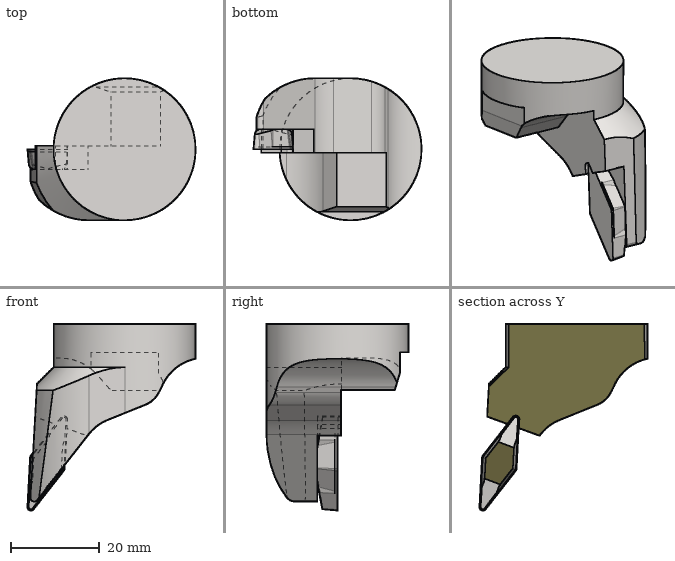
import cadquery as cq
import math


SHANK_R = 16.0
SHANK_END = -9.75
REACH = 60.0
DEPTH = -45.0

WING_OFFSET = 8.0
WING_FACE_Y = 0.8
SHOULDER_R = 21.2
SHOULDER_FOOT = SHANK_END - (SHOULDER_R - SHANK_R)
WING_DRAFT = 2.75
SIDE_ANGLE = 3.2
SIDE_X = -19.81
TIP_R = 0.85

RIM_END = -7.85
UNDERSIDE_Z = -20.1
UNDERSIDE_ANGLE = 22.0
SCOOP_ANGLE = 63.0
SCOOP_FOOT = (8.4, -14.1)
SCOOP_R = 10.5
HUMP_R = 6.0
LOWER_ANGLE = 52.0
LOWER_EDGE = (-8.07, -24.84)
LOWER_BEND_R = 10.0

GULLET_TOP = -7.63
GULLET_R = 11.0
GULLET_ARC_X = -14.5
GULLET_SLOPE = 48.6
GULLET_FLOOR = -14.9

BACK_Y = 14.1
BACK_TOP = -6.4
BACK_BEND = -10.9
BACK_ANGLE = 16.7

INSCRIBED_D = 7.94
POINT_ANGLE = 35.0
NOSE_R = 0.8
CORNER_R = 1.0
INSERT_T = 4.5
RELIEF = 5.0
NOSE_X = -21.07
NOSE_Z = -41.2
LAND = 0.6
RECESS = 0.1
RECESS_RELIEF = 9.0
RECESS_END = 6.4
BEVEL_START = 4.4
BEVEL_ANGLE = 9.4
CEILING_Z = -20.87
CEILING_ANGLE = 20.0


def tan(angle):
    return math.tan(math.radians(angle))


def along(start, angle, distance):
    """Point at a distance from start, angle measured from +X."""
    a = math.radians(angle)
    return (start[0] + distance * math.cos(a), start[1] + distance * math.sin(a))


def crossing(p, slope_p, q, slope_q):
    """Crossing of two lines, each given by a point and its slope."""
    x = (q[1] - p[1] + slope_p * p[0] - slope_q * q[0]) / (slope_p - slope_q)
    return (x, p[1] + slope_p * (x - p[0]))


def side_face_x(z):
    return SIDE_X - (SHOULDER_FOOT - z) * tan(SIDE_ANGLE)


def xz_prism(outline, y_from, y_to):
    """Prism of a closed XZ outline between two Y levels."""
    return outline.extrude(y_from - y_to).translate((0, y_from, 0))


def silhouette():
    """XZ outline of the whole holder, extruded across it."""
    side_slope = tan(90 - SIDE_ANGLE)
    lower_slope = tan(LOWER_ANGLE)
    side_point = (SIDE_X, SHOULDER_FOOT)
    underside_point = (0, UNDERSIDE_Z)
    underside_slope = tan(UNDERSIDE_ANGLE)
    tip = crossing(side_point, side_slope, LOWER_EDGE, lower_slope)
    bend = crossing(underside_point, underside_slope, LOWER_EDGE, lower_slope)
    hump = crossing(underside_point, underside_slope, SCOOP_FOOT, tan(SCOOP_ANGLE))
    solid = xz_prism(
        cq.Workplane("XZ")
        .moveTo(side_face_x(0), 0)
        .lineTo(*tip)
        .lineTo(*bend)
        .lineTo(*hump)
        .lineTo(*SCOOP_FOOT)
        .radiusArc((SHANK_R, RIM_END), SCOOP_R)
        .lineTo(SHANK_R, 0)
        .close(),
        SHANK_R, -SHANK_R,
    )
    for corner, radius in ((tip, TIP_R), (bend, LOWER_BEND_R), (hump, HUMP_R)):
        edge = cq.selectors.NearestToPointSelector((corner[0], 0, corner[1]))
        solid = solid.edges("|Y").edges(edge).fillet(radius)
    return solid


def wing():
    """Shoulder and slim cone about the shank axis, trimmed to the wing plan outline."""
    foot_r = SHOULDER_R + (SHOULDER_FOOT - DEPTH) * tan(WING_DRAFT)
    turned = (
        cq.Workplane("XZ")
        .polyline([(0, 0), (SHANK_R, 0), (SHANK_R, SHANK_END), (SHOULDER_R, SHOULDER_FOOT),
                   (foot_r, DEPTH), (0, DEPTH)])
        .close()
        .revolve(360, (0, 0), (0, 1))
    )
    plan = (
        cq.Workplane("XY")
        .moveTo(0, -SHANK_R)
        .lineTo(-WING_OFFSET, -SHANK_R)
        .radiusArc((-WING_OFFSET - SHANK_R, 0), SHANK_R)
        .lineTo(-WING_OFFSET - SHANK_R, WING_FACE_Y)
        .lineTo(0, WING_FACE_Y)
        .close()
        .extrude(DEPTH)
    )
    return turned.intersect(plan)


def gullet():
    """Space above the wing face through which the chips leave."""
    arc_end = (
        GULLET_ARC_X + GULLET_R * math.sin(math.radians(GULLET_SLOPE)),
        GULLET_TOP - GULLET_R * (1 - math.cos(math.radians(GULLET_SLOPE))),
    )
    ramp_end_x = arc_end[0] + (arc_end[1] - GULLET_FLOOR) / tan(GULLET_SLOPE)
    outline = (
        cq.Workplane("XZ")
        .moveTo(-REACH, GULLET_TOP)
        .lineTo(GULLET_ARC_X, GULLET_TOP)
        .radiusArc(arc_end, GULLET_R)
        .lineTo(ramp_end_x, GULLET_FLOOR)
        .lineTo(REACH, GULLET_FLOOR)
        .lineTo(REACH, DEPTH)
        .lineTo(-REACH, DEPTH)
        .close()
    )
    return xz_prism(outline, REACH, WING_FACE_Y)


def back_flat():
    """Flat on the +Y side that leans inwards below its bend."""
    foot_y = BACK_Y - (BACK_BEND - DEPTH) * tan(BACK_ANGLE)
    return (
        cq.Workplane("YZ")
        .polyline([(BACK_Y, BACK_TOP), (REACH, BACK_TOP), (REACH, DEPTH), (foot_y, DEPTH),
                   (BACK_Y, BACK_BEND)])
        .close()
        .extrude(REACH, both=True)
    )


HALF_POINT = POINT_ANGLE / 2
AXIS_ANGLE = LOWER_ANGLE + HALF_POINT
HALF_LENGTH = INSCRIBED_D / 2 / math.sin(math.radians(HALF_POINT))
NOSE_TO_CENTRE = (INSCRIBED_D / 2 - NOSE_R) / math.sin(math.radians(HALF_POINT))
CENTRE = along((NOSE_X, NOSE_Z), AXIS_ANGLE, NOSE_TO_CENTRE)


def placed(solid):
    """Turn a solid drawn with the long diagonal along X into place."""
    return solid.rotate((0, 0, 0), (0, 1, 0), -AXIS_ANGLE).translate((CENTRE[0], 0, CENTRE[1]))


def rhombus(inset, height, taper, nose_r=0, corner_r=0):
    """Rhombus with its long diagonal along X, extruded from Y = 0 to -Y and narrowing there."""
    half_width = INSCRIBED_D / 2 - inset
    long_half = half_width / math.sin(math.radians(HALF_POINT))
    short_half = half_width / math.cos(math.radians(HALF_POINT))
    outline = cq.Sketch().polygon(
        [(long_half, 0), (0, short_half), (-long_half, 0), (0, -short_half), (long_half, 0)]
    )
    if nose_r:
        outline = outline.vertices("<X or >X").fillet(nose_r).reset()
    if corner_r:
        outline = outline.vertices("<Y or >Y").fillet(corner_r).reset()
    return cq.Workplane("XZ").placeSketch(outline).extrude(height, taper=taper)


def pocket():
    """Space below a sloping ceiling, down to the seat on which the insert rests."""
    start = (side_face_x(CEILING_Z), CEILING_Z)
    outline = (
        cq.Workplane("XZ")
        .polyline([along(start, 180 - CEILING_ANGLE, REACH), along(start, -CEILING_ANGLE, REACH),
                   (REACH, -REACH), (-REACH, -REACH)])
        .close()
    )
    return xz_prism(outline, REACH, -INSERT_T)


def insert_notch():
    """Recess above the ceiling for the upper point of the insert."""
    notch = rhombus(0, INSERT_T + WING_FACE_Y, 0, NOSE_R, CORNER_R)
    return placed(notch.translate((0, WING_FACE_Y, 0)))


def build_holder():
    blank = cq.Workplane("XY").circle(SHANK_R).extrude(DEPTH).union(wing())
    return (
        blank.intersect(silhouette())
        .cut(gullet())
        .cut(back_flat())
        .cut(pocket())
        .cut(insert_notch())
    )


def recessed_flanks():
    """Region left by the recesses beside the two wide corners, below the land."""
    core = rhombus(RECESS, INSERT_T, RECESS_RELIEF, corner_r=CORNER_R)
    bar_width = 2 * (HALF_LENGTH - RECESS_END) * tan(HALF_POINT)
    bar = cq.Workplane("XZ").rect(2 * HALF_LENGTH, bar_width).extrude(INSERT_T, taper=RELIEF)
    land = cq.Workplane("XZ").rect(REACH, REACH).extrude(LAND)
    return core.union(bar).union(land)


def end_bevel(side):
    """Wedge that thins the insert underneath towards one point."""
    rise = (REACH - BEVEL_START) * tan(BEVEL_ANGLE)
    return (
        cq.Workplane("XY")
        .polyline([(side * BEVEL_START, -INSERT_T), (side * REACH, -INSERT_T + rise),
                   (side * REACH, -INSERT_T)])
        .close()
        .extrude(REACH, both=True)
    )


def build_insert():
    blade = rhombus(0, INSERT_T, RELIEF, NOSE_R, CORNER_R).intersect(recessed_flanks())
    for side in (-1, 1):
        blade = blade.cut(end_bevel(side))
    return placed(blade)


holder = build_holder()
insert = build_insert()
result = cq.Compound.makeCompound([holder.val(), insert.val()])